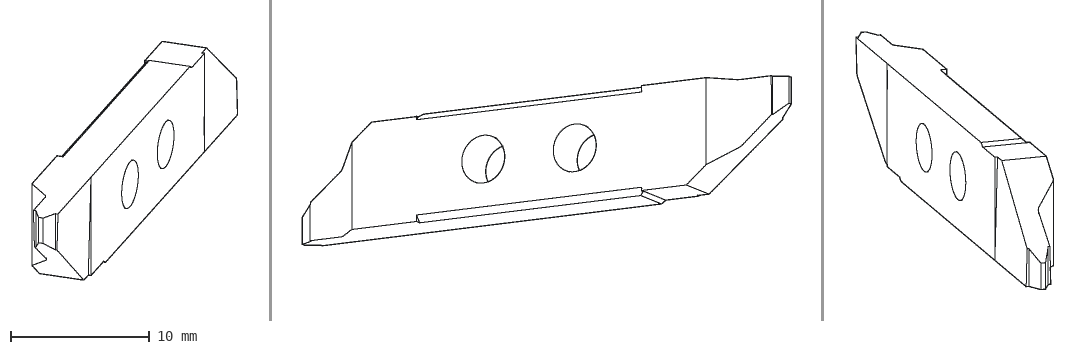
import cadquery as cq
import math

length = 40.0
width = 3.6
height = 8.0
half_length = length / 2
half_width = width / 2
half_height = height / 2

ramp_angle = 39.2
tip_height = 2.0
step_depth = 0.25
step_y = 9.3
step_run = 0.35

neck_width = 1.9
neck_length = 3.7
root_radius = 0.5
tip_length = 1.05
tip_base_width = 1.5
tip_flat_width = 0.35
flank_angle = 1.5
flank_relief_length = 8.0

edge_chamfer = 0.5
edge_chamfer_length = 18.5
hole_diameter = 3.5
hole_spacing = 7.5

neck_side_x = half_width - neck_width
tip_x = half_width - neck_width / 2
shoulder_y = half_length - tip_length
neck_root_y = half_length - neck_length
neck_ramp_y = neck_root_y - (width - neck_width)


def turned(shape):
    """Turn a shape half a turn about the X axis."""
    return shape.rotate((0, 0, 0), (1, 0, 0), 180)


def side_body():
    """Long bar with a ramped nose and a shallow step at each end."""
    step_z = half_height - step_depth
    tip_z = tip_height - half_height
    ramp_run = (step_z - tip_z) / math.tan(math.radians(ramp_angle))
    upper_points = [
        (half_length, -half_height),
        (half_length, tip_z),
        (half_length - ramp_run, step_z),
        (step_y, step_z),
        (step_y - step_run, half_height),
    ]
    lower_points = [(-y, -z) for y, z in upper_points]
    profile = cq.Workplane("YZ").polyline(upper_points + lower_points).close()
    return profile.extrude(half_width, both=True)


def plan_envelope():
    """Plan outline with an offset neck and pointed tip at each end."""
    half_base = tip_base_width / 2
    half_flat = tip_flat_width / 2
    end_points = [
        (-half_width, neck_ramp_y),
        (neck_side_x, neck_root_y),
        (neck_side_x, shoulder_y),
        (tip_x - half_base, shoulder_y),
        (tip_x - half_flat, half_length),
        (tip_x + half_flat, half_length),
        (tip_x + half_base, shoulder_y),
        (half_width, shoulder_y),
    ]
    other_end = [(x, -y) for x, y in reversed(end_points)]
    profile = cq.Workplane("XY").polyline(end_points + other_end).close()
    return profile.extrude(half_height, both=True)


def flank_relief(edge_x, inward, start_y):
    """Wedge that narrows the +Y neck upward from its lower cutting edge."""
    lean = inward * height * math.tan(math.radians(flank_angle))
    return (
        cq.Workplane("XZ", origin=(0, start_y, 0))
        .polyline([(edge_x, -half_height), (edge_x, half_height), (edge_x + lean, half_height)])
        .close()
        .extrude(start_y - half_length)
    )


def inner_flank_relief():
    """Relief on the neck's -X side, ending along the plane of the 45 degree run-out."""
    beyond_run_out = (
        cq.Workplane("XY")
        .polyline([
            (neck_side_x, neck_root_y),
            (neck_side_x + neck_length, half_length),
            (neck_side_x, half_length),
        ])
        .close()
        .extrude(half_height, both=True)
    )
    return flank_relief(neck_side_x, 1, neck_root_y).intersect(beyond_run_out)


def long_edge_chamfer():
    """Triangular bar along the upper -X edge."""
    return (
        cq.Workplane("XZ")
        .polyline([
            (-half_width, half_height),
            (edge_chamfer - half_width, half_height),
            (-half_width, half_height - edge_chamfer),
        ])
        .close()
        .extrude(edge_chamfer_length / 2, both=True)
    )


def mounting_holes():
    """Two through holes along X."""
    return (
        cq.Workplane("YZ")
        .pushPoints([(-hole_spacing / 2, 0), (hole_spacing / 2, 0)])
        .circle(hole_diameter / 2)
        .extrude(width, both=True)
    )


result = side_body().intersect(plan_envelope())
end_cuts = [
    inner_flank_relief(),
    flank_relief(half_width, -1, half_length - flank_relief_length),
    long_edge_chamfer(),
]
for cut in end_cuts:
    result = result.cut(cut).cut(turned(cut))

for root_y in (neck_root_y, -neck_root_y):
    root_corner = cq.selectors.BoxSelector(
        (neck_side_x - root_radius, root_y - root_radius, -half_height),
        (neck_side_x + root_radius, root_y + root_radius, half_height),
    )
    result = result.edges(root_corner).fillet(root_radius)

result = result.cut(mounting_holes())